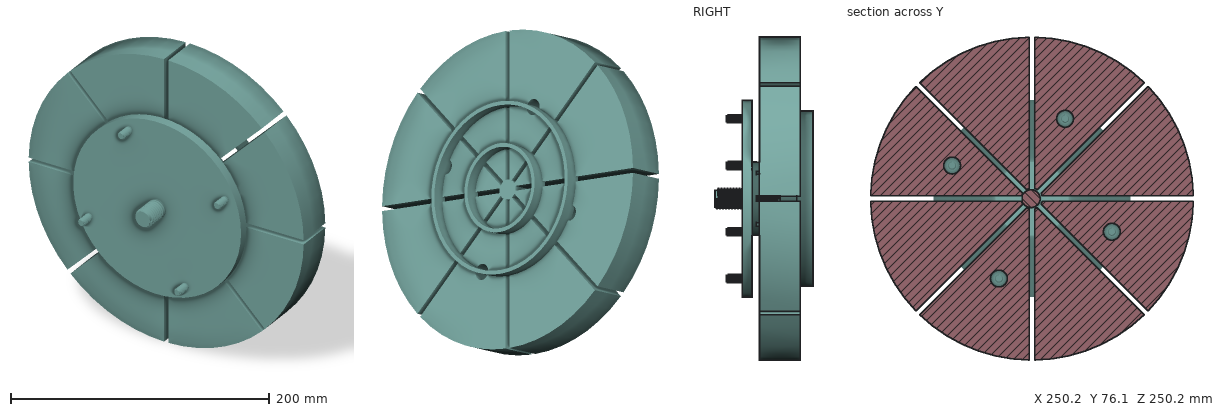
import cadquery as cq
import math


plate_radius = 76.3
plate_thickness = 7.8
neck_radius = 28.4
neck_length = 5.5
wheel_radius = 125.1
wheel_thickness = 31.85
wheel_front = plate_thickness + neck_length
wheel_back = wheel_front + wheel_thickness

segment_count = 8
slot_width = 3.8
slot_length = 2 * wheel_radius + slot_width
slot_depth_in_neck = 2.2
slot_floor = wheel_front - slot_depth_in_neck

ring_height = 12.85
ring_seat_depth = 3.0
ring_front = wheel_back - ring_seat_depth
outer_ring_radius = 68.0
ring_wall = 3.0
inner_ring_radius = 35.0

inch = 25.4
thread_depth_ratio = 0.6134
crest_ratio = 1 / 8
root_ratio = 3 / 4
root_overlap = 0.05

spindle_radius = 5 / 8 * inch / 2
spindle_pitch = inch / 11
spindle_reach = 21.14
spindle_thread_length = 2 * inch
spindle_length = spindle_reach + wheel_back

stud_count = 4
stud_radius = inch / 4 / 2
stud_pitch = inch / 20
stud_reach = 12.2
stud_length = stud_reach + plate_thickness
stud_circle_radius = 66.9
stud_start_angle = 180 / segment_count

access_hole_radius = 6.35


def disc(radius, start, end):
    """Cylinder about the Y axis between two axial positions."""
    return cq.Workplane("XZ", origin=(0, start, 0)).circle(radius).extrude(start - end)


def ring(outer_radius):
    """Plain ring standing in its groove and proud of the wheel's back face."""
    blank = disc(outer_radius, ring_front, ring_front + ring_height)
    return blank.cut(disc(outer_radius - ring_wall, ring_front, ring_front + ring_height))


def threaded_rod(radius, pitch, length, thread_length):
    """Rod along +Y with its tip at the origin and a helical thread at the tip end."""
    depth = thread_depth_ratio * pitch
    minor_radius = radius - depth
    rod = cq.Workplane("XY").circle(minor_radius).extrude(length)
    if length > thread_length:
        shank = cq.Workplane("XY").workplane(offset=thread_length).circle(radius)
        rod = rod.union(shank.extrude(length - thread_length))

    half_root = root_ratio * pitch / 2
    half_crest = crest_ratio * pitch / 2
    inner_radius = minor_radius - root_overlap
    path = cq.Wire.makeHelix(pitch, thread_length - pitch, radius)
    ridge = (
        cq.Workplane("XZ")
        .moveTo(inner_radius, -half_root)
        .lineTo(radius, -half_crest)
        .lineTo(radius, half_crest)
        .lineTo(inner_radius, half_root)
        .close()
        .sweep(cq.Workplane(path), isFrenet=True)
        .translate((0, 0, pitch / 2))
    )
    return rod.union(ridge).rotate((0, 0, 0), (1, 0, 0), -90)


def stud_positions():
    """X and Z of every stud on its bolt circle."""
    angles = [math.radians(stud_start_angle + 360 / stud_count * i) for i in range(stud_count)]
    return [(stud_circle_radius * math.cos(a), stud_circle_radius * math.sin(a)) for a in angles]


def chuck_body(rings):
    """Turned body with slots, ring grooves, spindle bore and stud holes."""
    body = disc(plate_radius, 0, plate_thickness)
    body = body.union(disc(neck_radius, plate_thickness, wheel_front))
    body = body.union(disc(wheel_radius, wheel_front, wheel_back))

    slot_depth = wheel_back - slot_floor
    for i in range(segment_count // 2):
        slot = cq.Workplane("XY").box(slot_length, slot_depth, slot_width)
        slot = slot.translate((0, slot_floor + slot_depth / 2, 0))
        body = body.cut(slot.rotate((0, 0, 0), (0, 1, 0), 360 / segment_count * i))

    for seated_ring in rings:
        body = body.cut(seated_ring)
    body = body.cut(disc(spindle_radius, 0, wheel_back))
    for x, z in stud_positions():
        body = body.cut(disc(stud_radius, 0, plate_thickness).translate((x, 0, z)))
        body = body.cut(disc(access_hole_radius, wheel_front, wheel_back).translate((x, 0, z)))
    return body


outer_ring = ring(outer_ring_radius)
inner_ring = ring(inner_ring_radius)
body = chuck_body([outer_ring, inner_ring])

spindle = threaded_rod(spindle_radius, spindle_pitch, spindle_length, spindle_thread_length)
spindle = spindle.translate((0, -spindle_reach, 0))

stud = threaded_rod(stud_radius, stud_pitch, stud_length, stud_length)
studs = [stud.translate((x, -stud_reach, z)) for x, z in stud_positions()]

parts = [body, outer_ring, inner_ring, spindle, *studs]
result = cq.Compound.makeCompound([part.solids().val() for part in parts])